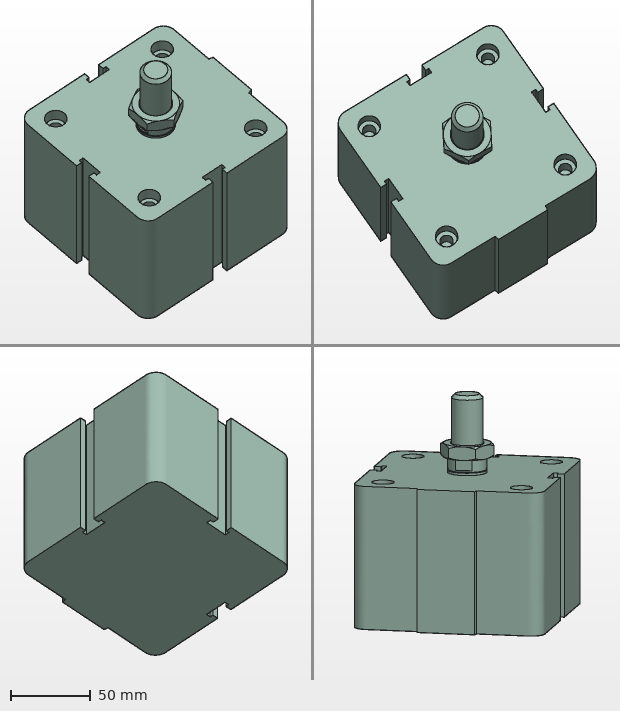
import cadquery as cq
import math

housing_width = 122.0
housing_height = 91.4
corner_radius = 9.0
cap_height = 19.4

rail_height = 3.0
rail_base_width = 37.9
rail_top_width = 36.8

slot_mouth_width = 11.6
slot_inner_width = 16.3
slot_depth = 7.5
slot_lip = 4.4

hole_spacing = 88.9
counterbore_diameter = 14.0
counterbore_depth = 8.5
hole_diameter = 8.3

overall_height = 141.5
collar_diameter = 25.0
collar_height = 1.5
collar_chamfer_height = 0.4
neck_diameter = 24.5
neck_top = 10.0
flat_start = 3.0
rod_across_flats = 22.1
thread_diameter = 20.0
thread_chamfer = 2.4

nut_bottom = housing_height + neck_top
nut_thickness = 8.8
nut_across_flats = 30.0
nut_chamfer_angle = 30
nut_countersink_diameter = 21.2


def make_t_slot(angle):
    """T-slot cutter for the -Y side, turned about Z by angle degrees."""
    face_y = -housing_width / 2
    mouth = (
        cq.Workplane("XY")
        .box(slot_mouth_width, slot_depth, housing_height, centered=(True, False, False))
    )
    head = (
        cq.Workplane("XY")
        .box(slot_inner_width, slot_depth - slot_lip, housing_height, centered=(True, False, False))
        .translate((0, slot_lip, 0))
    )
    slot = mouth.union(head).translate((0, face_y, 0))
    return slot.rotate((0, 0, 0), (0, 0, 1), angle)


def make_housing_layer(bottom, top):
    """One layer of the housing outline: rounded square, rail and T-slots."""
    height = top - bottom
    block = cq.Workplane("XY").rect(housing_width, housing_width).extrude(height)
    block = block.edges("|Z").fillet(corner_radius)
    side_y = housing_width / 2
    rail_y = side_y + rail_height
    rail = (
        cq.Workplane("XY")
        .moveTo(-rail_base_width / 2, 0)
        .lineTo(-rail_base_width / 2, side_y)
        .lineTo(-rail_top_width / 2, rail_y)
        .lineTo(rail_top_width / 2, rail_y)
        .lineTo(rail_base_width / 2, side_y)
        .lineTo(rail_base_width / 2, 0)
        .close()
        .extrude(height)
    )
    layer = block.union(rail)
    for angle in (-90, 0, 90):
        layer = layer.cut(make_t_slot(angle))
    return layer.translate((0, 0, bottom))


def make_housing():
    """Single block; the layers are fused but keep their seam edges."""
    seam_levels = [0, cap_height, housing_height - cap_height, housing_height]
    housing = make_housing_layer(seam_levels[0], seam_levels[1])
    for bottom, top in zip(seam_levels[1:], seam_levels[2:]):
        housing = housing.union(make_housing_layer(bottom, top), clean=False)

    hole_centers = (
        cq.Workplane("XY", origin=(0, 0, housing_height))
        .rect(hole_spacing, hole_spacing, forConstruction=True)
        .vertices()
    )
    holes = hole_centers.circle(hole_diameter / 2).extrude(-cap_height)
    counterbores = hole_centers.circle(counterbore_diameter / 2).extrude(-counterbore_depth)
    return housing.cut(holes, clean=False).cut(counterbores, clean=False)


def make_rod():
    """Stepped rod seated on the housing top, with two wrench flats."""
    collar_top = housing_height + collar_height
    profile = [
        (0, housing_height),
        (collar_diameter / 2, housing_height),
        (collar_diameter / 2, collar_top),
        (neck_diameter / 2, collar_top + collar_chamfer_height),
        (neck_diameter / 2, nut_bottom),
        (thread_diameter / 2, nut_bottom),
        (thread_diameter / 2, overall_height - thread_chamfer),
        (thread_diameter / 2 - thread_chamfer, overall_height),
        (0, overall_height),
    ]
    rod = cq.Workplane("XZ").polyline(profile).close().revolve(360, (0, 0), (0, 1))

    flat_bottom = housing_height + flat_start
    for side in (-1, 1):
        cutter_y = side * (rod_across_flats + neck_diameter) / 2
        flat_cutter = (
            cq.Workplane("XY", origin=(0, cutter_y, flat_bottom))
            .rect(2 * neck_diameter, neck_diameter)
            .extrude(nut_bottom - flat_bottom)
        )
        rod = rod.cut(flat_cutter)
    return rod


def make_nut():
    """Hexagon nut on the thread, its corners chamfered at both ends."""
    tip_radius = nut_across_flats / math.sqrt(3)
    hexagon = cq.Workplane("XY").polygon(6, 2 * tip_radius).extrude(nut_thickness)

    flat_radius = nut_across_flats / 2
    chamfer_drop = (tip_radius - flat_radius) * math.tan(math.radians(nut_chamfer_angle))
    envelope = (
        cq.Workplane("XZ")
        .polyline([
            (0, 0),
            (flat_radius, 0),
            (tip_radius, chamfer_drop),
            (tip_radius, nut_thickness - chamfer_drop),
            (flat_radius, nut_thickness),
            (0, nut_thickness),
        ])
        .close()
        .revolve(360, (0, 0), (0, 1))
    )
    countersink_width = (nut_countersink_diameter - thread_diameter) / 2
    nut = hexagon.intersect(envelope)
    nut = nut.faces(">Z").workplane().hole(thread_diameter)
    nut = nut.faces("<Z or >Z").edges(cq.selectors.RadiusNthSelector(0)).chamfer(countersink_width)
    return nut.translate((0, 0, nut_bottom))


housing = make_housing()
rod = make_rod()
nut = make_nut()
result = cq.Compound.makeCompound([housing.val(), rod.val(), nut.val()])